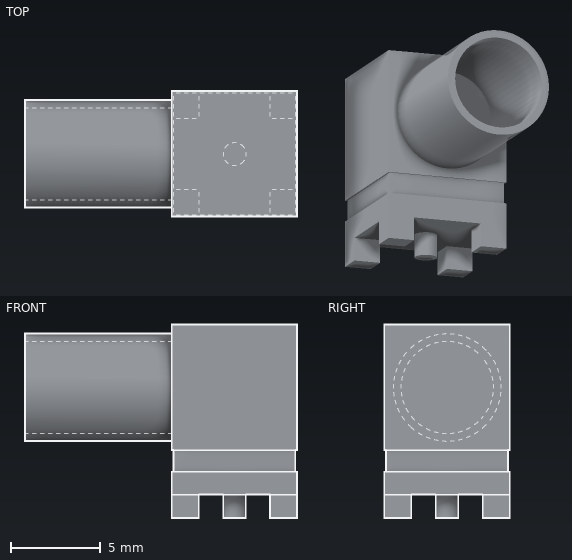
import cadquery as cq

total_length = 15.2
body_width = 7.0
total_height = 10.8

leg_height = 1.3
base_height = 1.29
neck_height = 1.2
housing_height = total_height - leg_height - base_height - neck_height

neck_width = 6.81
leg_width = 1.52

tube_outer_diameter = 6.0
tube_inner_diameter = 5.15
pin_diameter = 1.28

base_bottom = leg_height
neck_bottom = base_bottom + base_height
housing_bottom = neck_bottom + neck_height
tube_length = total_length - body_width
tube_axis_height = housing_bottom + housing_height / 2


def square_block(width, height, bottom):
    """Square block centred on the Z axis, standing at the given height."""
    return cq.Workplane("XY").workplane(offset=bottom).rect(width, width).extrude(height)


def make_tube():
    """Open tube along X, butted against the -X face of the housing."""
    return (
        cq.Workplane("YZ", origin=(-body_width / 2, 0, tube_axis_height))
        .circle(tube_outer_diameter / 2)
        .circle(tube_inner_diameter / 2)
        .extrude(-tube_length)
    )


def make_pin():
    """Contact pin hanging from the underside of the base, level with the legs."""
    return cq.Workplane("XY").circle(pin_diameter / 2).extrude(leg_height)


def make_connector_body():
    """One-piece body: housing, neck and base, with the side tube and the contact pin."""
    housing = square_block(body_width, housing_height, housing_bottom)
    neck = square_block(neck_width, neck_height, neck_bottom)
    base = square_block(body_width, base_height, base_bottom)
    body = housing.union(neck).union(base).union(make_tube()).union(make_pin())
    return cq.Workplane(obj=body.solids().val())


def make_leg(x_side, y_side):
    """Square leg under the base corner on the given sides (-1 or 1)."""
    offset = (body_width - leg_width) / 2
    return square_block(leg_width, leg_height, 0).translate((x_side * offset, y_side * offset, 0))


connector_body = make_connector_body()
legs = [make_leg(x_side, y_side) for x_side in (-1, 1) for y_side in (-1, 1)]

result = cq.Compound.makeCompound([connector_body.val(), *[leg.val() for leg in legs]])